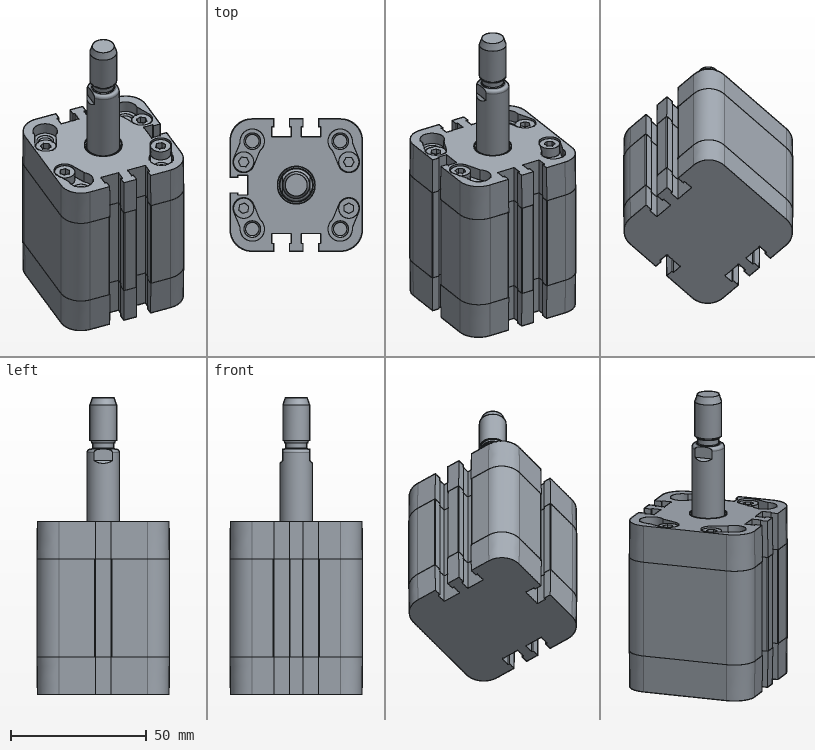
import cadquery as cq
import math

width = 49.0
corner_center = 16.3
cap_height = 13.9
tube_height = 36.0
cap_draft = 0.16
tube_top = cap_height + tube_height
body_top = tube_top + cap_height
total_height = 109.5

neck_width = 5.7
neck_depth = 3.0
channel_width = 7.1
slot_depth = 6.6
mouth_chamfer = 0.3
slot_spacing = 10.8

seat_offset = 16.2
screw_offset_x = 19.4
screw_offset_y = 8.5
pocket_seat_diameter = 9.0
pocket_screw_diameter = 7.9
pocket_depth = 4.4
seat_bottom_diameter = 4.9
seat_mouth_diameter = 6.1
screw_head_diameter = 7.5
screw_head_drop = 0.7
socket_flats = 3.4
socket_depth = 2.5
screws = [(-1, 1, -6), (1, 1, 0), (-1, -1, 20), (1, -1, 30)]

rod_diameter = 12.0
opening_diameter = 14.0
opening_inner_diameter = 13.7
opening_step = 0.2
opening_depth = 0.4
clearance_diameter = 12.6
clearance_depth = 1.1
thread_diameter = 10.0
tip_diameter = 8.1
tip_length = 2.7
groove_diameter = 7.9
groove_rim_diameter = 8.5
cone_diameter = 9.0
groove_top = 92.9
thread_bottom = 93.6
shoulder_height = 90.6
shoulder_radius = 1.3
flats_width = 10.0
flats_bottom = 86.3


def rounded_square():
    """Square outline shared by the tube and the wide faces of the caps."""
    corner_radius = width / 2 - corner_center
    return cq.Sketch().rect(width, width).vertices().fillet(corner_radius)


def slot_cutter(center, angle, chamfer):
    """Full-height T slot in the -Y side, shifted along X and then turned about Z."""
    side = -width / 2
    neck_half = neck_width / 2
    channel_half = channel_width / 2
    right_edge = [
        (neck_half, side + neck_depth),
        (channel_half, side + neck_depth),
        (channel_half, side + slot_depth),
    ]
    if chamfer:
        right_edge = [(neck_half + chamfer, side), (neck_half, side + chamfer)] + right_edge
    else:
        right_edge = [(neck_half, side)] + right_edge
    left_edge = [(-x, y) for x, y in reversed(right_edge)]
    slot = cq.Workplane("XY").polyline(right_edge + left_edge).close().extrude(body_top)
    return slot.translate((center, 0, 0)).rotate((0, 0, 0), (0, 0, 1), angle)


def cut_slots(body, chamfer=0):
    """Two slots on each Y side and one on the -X side."""
    for angle in (0, 180):
        for center in (-slot_spacing / 2, slot_spacing / 2):
            body = body.cut(slot_cutter(center, angle, chamfer))
    return body.cut(slot_cutter(0, -90, chamfer))


def make_tube():
    tube = cq.Workplane("XY").placeSketch(rounded_square()).extrude(tube_height)
    return cut_slots(tube.translate((0, 0, cap_height)), mouth_chamfer)


def drafted_block():
    """Cap blank standing on its wide face at z = 0 and narrowing upwards."""
    taper = math.degrees(math.atan(cap_draft / cap_height))
    return cq.Workplane("XY").placeSketch(rounded_square()).extrude(cap_height, taper=taper)


def make_bottom_cap():
    flipped = drafted_block().rotate((0, 0, 0), (1, 0, 0), 180)
    return cut_slots(flipped.translate((0, 0, cap_height)))


def pocket_cutter(side_x, side_y):
    """Round pocket over the mounting seat, joined to a parallel channel ending round the screw."""
    reach_x = side_x * (screw_offset_x - seat_offset)
    reach_y = side_y * (screw_offset_y - seat_offset)
    reach = math.hypot(reach_x, reach_y)
    heading = math.degrees(math.atan2(reach_y, reach_x))
    round_end = cq.Workplane("XY").circle(pocket_seat_diameter / 2).extrude(pocket_depth)
    channel = (
        cq.Workplane("XY")
        .center(reach / 2, 0)
        .slot2D(reach + pocket_screw_diameter, pocket_screw_diameter)
        .extrude(pocket_depth)
    )
    pocket = round_end.union(channel).rotate((0, 0, 0), (0, 0, 1), heading)
    return pocket.translate((side_x * seat_offset, side_y * seat_offset, body_top - pocket_depth))


def mounting_seat(side_x, side_y):
    """Conical seat with 45 degree sides and a flat bottom, sunk into a pocket floor."""
    mouth_radius = seat_mouth_diameter / 2
    seat_depth = mouth_radius - seat_bottom_diameter / 2
    floor = cq.Workplane("XY", origin=(0, 0, body_top - pocket_depth))
    seat = floor.circle(mouth_radius).extrude(-seat_depth, taper=45)
    return seat.translate((side_x * seat_offset, side_y * seat_offset, 0))


def screw_head(side_x, side_y, turn):
    """Round head standing on the pocket floor, with a hexagon socket turned by the given angle."""
    socket_corners = socket_flats / math.cos(math.pi / 6)
    height = pocket_depth - screw_head_drop
    head = cq.Workplane("XY").circle(screw_head_diameter / 2).extrude(height)
    socket = cq.Workplane("XY", origin=(0, 0, height)).polygon(6, socket_corners).extrude(-socket_depth)
    head = head.cut(socket.rotate((0, 0, 0), (0, 0, 1), turn))
    floor = body_top - pocket_depth
    return head.translate((side_x * screw_offset_x, side_y * screw_offset_y, floor))


def rod_opening():
    """Bore that fits the rod, widening in steps towards the cap face."""
    steps = [
        (rod_diameter, cap_height),
        (clearance_diameter, clearance_depth),
        (opening_inner_diameter, opening_depth),
        (opening_diameter, opening_step),
    ]
    face = cq.Workplane("XY", origin=(0, 0, body_top))
    opening = cq.Workplane("XY")
    for diameter, depth in steps:
        opening = opening.union(face.circle(diameter / 2).extrude(-depth))
    return opening


def make_top_cap():
    cap = cut_slots(drafted_block().translate((0, 0, tube_top)))
    for side_x, side_y, turn in screws:
        cap = cap.cut(pocket_cutter(side_x, side_y))
        cap = cap.cut(mounting_seat(side_x, side_y))
        cap = cap.union(screw_head(side_x, side_y, turn))
    return cap.cut(rod_opening())


def make_rod():
    """Turned rod standing on the tube, with two wrench flats facing +X and -X."""
    rod_radius = rod_diameter / 2
    groove_radius = groove_diameter / 2
    rim_radius = groove_rim_diameter / 2
    thread_radius = thread_diameter / 2
    fillet_mid = shoulder_radius * (1 - math.sqrt(0.5))
    rod = (
        cq.Workplane("XZ")
        .moveTo(0, tube_top)
        .lineTo(rod_radius, tube_top)
        .lineTo(rod_radius, shoulder_height - shoulder_radius)
        .threePointArc((rod_radius - fillet_mid, shoulder_height - fillet_mid),
                       (rod_radius - shoulder_radius, shoulder_height))
        .lineTo(rim_radius, shoulder_height)
        .lineTo(groove_radius, shoulder_height + rim_radius - groove_radius)
        .lineTo(groove_radius, groove_top)
        .lineTo(rim_radius, groove_top)
        .lineTo(cone_diameter / 2, thread_bottom)
        .lineTo(thread_radius, thread_bottom)
        .lineTo(thread_radius, total_height - tip_length)
        .lineTo(tip_diameter / 2, total_height)
        .lineTo(0, total_height)
        .close()
        .revolve(360, (0, 0), (0, 1))
    )
    flat_depth = rod_radius - flats_width / 2
    for side in (-1, 1):
        profile = [
            (side * flats_width / 2, shoulder_height),
            (side * flats_width / 2, flats_bottom),
            (side * rod_radius, flats_bottom - flat_depth),
            (side * rod_radius, shoulder_height),
        ]
        rod = rod.cut(cq.Workplane("XZ").polyline(profile).close().extrude(rod_radius, both=True))
    return rod


tube = make_tube()
bottom_cap = make_bottom_cap()
top_cap = make_top_cap()
rod = make_rod()

result = cq.Compound.makeCompound([tube.val(), bottom_cap.val(), top_cap.val(), rod.val()])